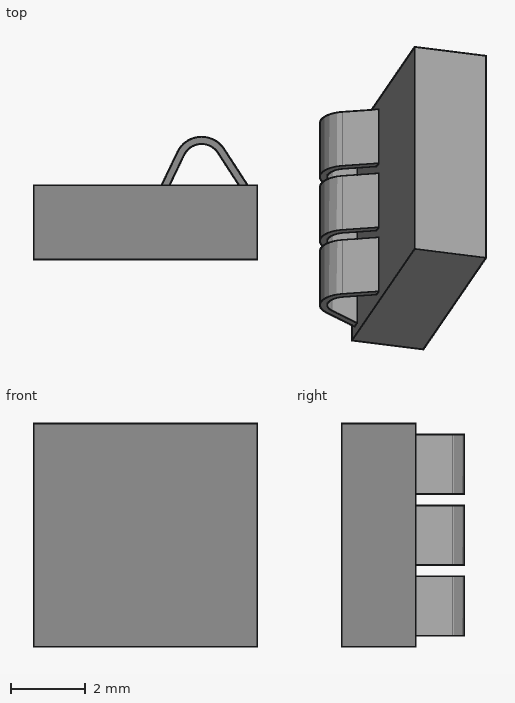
import cadquery as cq
import math

block_side = 6.0
block_depth = 2.0

total_depth = 3.3
strip_thickness = 0.2
strip_width = 1.6
strip_pitch = 1.9
strip_count = 3
bend_radius = 0.72
bend_x = 4.505
left_leg_angle = 64.4
right_leg_angle = 57.0

bend_y = total_depth - bend_radius


def leg_points(radius, angle, side):
    """Tangent point on the bend and foot on the back face; side is -1 for left, +1 for right."""
    slope = math.radians(angle)
    tangent_x = bend_x + side * radius * math.sin(slope)
    tangent_y = bend_y + radius * math.cos(slope)
    foot_x = tangent_x + side * (tangent_y - block_depth) / math.tan(slope)
    return (tangent_x, tangent_y), (foot_x, block_depth)


def make_strip(bottom_z):
    """One contact: two straight legs joined tangentially by a round bend."""
    inner_radius = bend_radius - strip_thickness
    outer_left, outer_left_foot = leg_points(bend_radius, left_leg_angle, -1)
    outer_right, outer_right_foot = leg_points(bend_radius, right_leg_angle, 1)
    inner_left, inner_left_foot = leg_points(inner_radius, left_leg_angle, -1)
    inner_right, inner_right_foot = leg_points(inner_radius, right_leg_angle, 1)
    return (
        cq.Workplane("XY", origin=(0, 0, bottom_z))
        .moveTo(*outer_left_foot)
        .lineTo(*outer_left)
        .threePointArc((bend_x, bend_y + bend_radius), outer_right)
        .lineTo(*outer_right_foot)
        .lineTo(*inner_right_foot)
        .lineTo(*inner_right)
        .threePointArc((bend_x, bend_y + inner_radius), inner_left)
        .lineTo(*inner_left_foot)
        .close()
        .extrude(strip_width)
    )


result = cq.Workplane("XY").box(block_side, block_depth, block_side, centered=False)

row_height = (strip_count - 1) * strip_pitch + strip_width
first_strip_z = (block_side - row_height) / 2
for index in range(strip_count):
    result = result.union(make_strip(first_strip_z + index * strip_pitch))